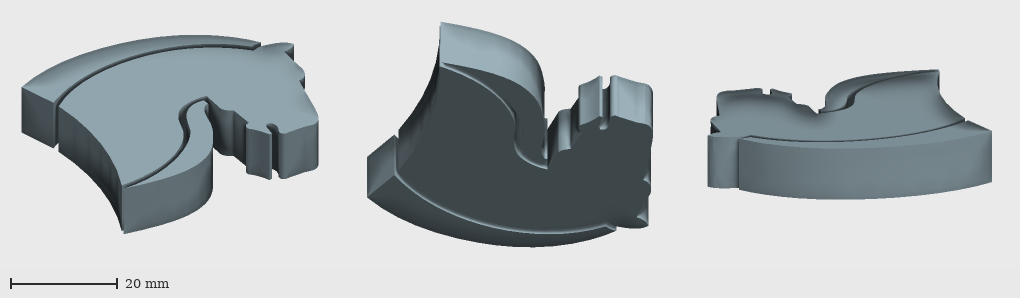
import cadquery as cq

THICKNESS = 10.0

MANE_TAIL = (0, 29.95)
MANE_TIP = (38.8, 57.6)
MANE_INNER_TOP = (37.5, 55.65)
MANE_INNER_TAIL = (7.3, 26.1)

NAPE = (38.3, 54.35)
EAR_BACK = (39.2, 56.3)
EAR_TIP = (44.95, 58.7)
EAR_FRONT = (43.9, 55.5)
FOREHEAD_TOP = (48.05, 51.3)
BROW = (49.35, 46.35)
NOSE_TOP = (55.05, 37.4)
NOSE_BOTTOM = (56.2, 31.7)
NOSTRIL = (54.9, 30.65)
UPPER_LIP = (52.45, 27.8)
MOUTH_TOP = (50.65, 27.9)
MOUTH_BACK = (47.8, 29.7)
MOUTH_LOWER = (47.95, 28.75)
LOWER_LIP = (49.65, 26.7)
LOWER_LIP_TIP = (49.3, 26.2)
CHIN_FRONT = (45.0, 27.1)
CHIN_BACK = (44.5, 29.1)
CHEEK_FRONT = (40.45, 32.7)
CHEEK_BACK = (38.1, 32.5)
THROAT = (34.2, 36.3)
CHEST_TIP = (27.7, 1.0)
NECK_BACK = (8.6, 25.2)

LOCK_TIP = (28.35, 0)
LOCK_TOP = (34.2, 34.65)
LOCK_SHOULDER = (35.35, 33.6)
LOCK_NOTCH = (34.95, 33.2)
LOCK_BEND = (34.75, 23.4)


def extrude_outline(outline):
    """Close a plan outline and raise it to the common plate thickness."""
    return outline.close().extrude(THICKNESS)


def make_mane():
    """Crescent behind the neck, with a slanted tail and a notched tip."""
    outline = (
        cq.Workplane("XY")
        .moveTo(*MANE_TAIL)
        .spline([(4.95, 40.75), (12.75, 49.4), (22.7, 55.65), (34.5, 58.0), MANE_TIP], includeCurrent=True)
        .threePointArc((38.0, 56.65), MANE_INNER_TOP)
        .spline([(29.6, 54.4), (20.35, 49.4), (12.6, 40.75), MANE_INNER_TAIL], includeCurrent=True)
    )
    return extrude_outline(outline)


def draw_ear_and_forehead(outline):
    """Ear, forehead and brow, from the nape to the brow notch."""
    return (
        outline
        .threePointArc((38.65, 55.4), EAR_BACK)
        .spline([(40.8, 57.6), (42.75, 58.65), EAR_TIP], includeCurrent=True)
        .threePointArc((44.9, 57.5), EAR_FRONT)
        .lineTo(*FOREHEAD_TOP)
        .spline([(49.4, 49.75), (49.95, 48.05), BROW], includeCurrent=True)
    )


def draw_muzzle(outline):
    """Nose, lips, open mouth and chin, from the brow notch to the back of the chin."""
    return (
        outline
        .lineTo(*NOSE_TOP)
        .spline([(56.45, 34.65), (56.65, 32.65), NOSE_BOTTOM], includeCurrent=True)
        .lineTo(*NOSTRIL)
        .lineTo(*UPPER_LIP)
        .threePointArc((51.35, 27.2), MOUTH_TOP)
        .spline([(50.1, 29.05), (48.8, 30.05), MOUTH_BACK], includeCurrent=True)
        .lineTo(*MOUTH_LOWER)
        .lineTo(*LOWER_LIP)
        .lineTo(*LOWER_LIP_TIP)
        .threePointArc((47.2, 26.9), CHIN_FRONT)
        .threePointArc((44.25, 27.9), CHIN_BACK)
    )


def draw_jaw_and_neck(outline):
    """Cheek, throat, chest and neck, from the chin back to the nape."""
    return (
        outline
        .lineTo(*CHEEK_FRONT)
        .threePointArc((39.1, 32.35), CHEEK_BACK)
        .lineTo(*THROAT)
        .spline(
            [
                (31.9, 33.4), (30.8, 29.9), (31.8, 26.0), (33.4, 23.05),
                (34.4, 18.4), (33.7, 12.05), (31.2, 6.0), CHEST_TIP,
            ],
            includeCurrent=True,
        )
        .threePointArc((19.6, 14.7), NECK_BACK)
        .spline([(11.7, 37.05), (16.8, 44.45), (24.25, 50.65), (32.35, 53.75), NAPE], includeCurrent=True)
    )


def make_head():
    """Head and neck in profile, as one plate."""
    outline = cq.Workplane("XY").moveTo(*NAPE)
    outline = draw_ear_and_forehead(outline)
    outline = draw_muzzle(outline)
    outline = draw_jaw_and_neck(outline)
    return extrude_outline(outline)


def make_throat_lock():
    """Curved lock in front of the throat, tapering to a point at the bottom."""
    outline = (
        cq.Workplane("XY")
        .moveTo(*LOCK_TIP)
        .spline([(33.05, 7.25), (34.95, 13.45), (35.4, 18.4), LOCK_BEND], includeCurrent=True)
        .spline([(33.3, 26.4), (32.25, 30.45), (32.9, 33.1), LOCK_TOP], includeCurrent=True)
        .lineTo(*LOCK_SHOULDER)
        .lineTo(*LOCK_NOTCH)
        .spline(
            [(35.1, 31.6), (37.6, 27.1), (39.5, 22.2), (40.35, 17.2), (39.35, 12.25), (36.25, 7.25), LOCK_TIP],
            includeCurrent=True,
        )
    )
    return extrude_outline(outline)


mane = make_mane()
head = make_head()
throat_lock = make_throat_lock()

result = cq.Compound.makeCompound([mane.val(), head.val(), throat_lock.val()])